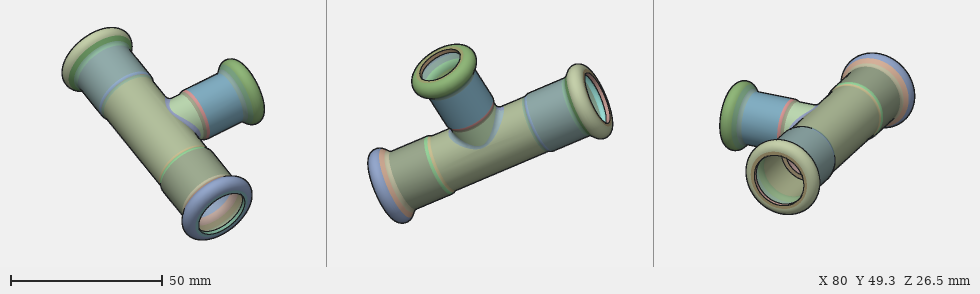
import cadquery as cq
import math

run_length = 80.0
branch_reach = 36.0

run_socket_diameter = 21.0
run_tube_diameter = 19.8
run_bead_diameter = 26.5
branch_socket_diameter = 18.0
branch_tube_diameter = 16.8

socket_wall = 1.4
tube_wall = 2.6

socket_depth = 20.9
bead_radius = 3.0
bead_height = (run_bead_diameter - run_socket_diameter) / 2
neck_radius = 2.1
neck_angle = 45.0
step_radius = 2.0
step_angle = 30.0
junction_fillet = 2.0
selection_margin = 0.1


def arc_point(center, radius, angle):
    """Point on an arc; the angle is measured from radially outward towards the tube."""
    turn = math.radians(angle)
    return center[0] + radius * math.sin(turn), center[1] + radius * math.cos(turn)


def bead_and_neck(profile, socket_radius, inset):
    """Add the bead, cone and neck, moved inward by the inset, starting on the mouth face."""
    bead_center = (bead_radius, socket_radius + bead_height - bead_radius)
    bead = bead_radius - inset
    neck = neck_radius + inset
    neck_center_radius = socket_radius + neck_radius
    center_rise = neck_center_radius - bead_center[1]
    slope = math.radians(neck_angle)
    center_gap = (bead_radius + neck_radius - center_rise * math.cos(slope)) / math.sin(slope)
    neck_center = (bead_center[0] + center_gap, neck_center_radius)
    return (
        profile.lineTo(*arc_point(bead_center, bead, -90))
        .threePointArc(arc_point(bead_center, bead, 0), arc_point(bead_center, bead, neck_angle))
        .lineTo(*arc_point(neck_center, neck, 180 + neck_angle))
        .threePointArc(
            arc_point(neck_center, neck, 180 + neck_angle / 2), arc_point(neck_center, neck, 180)
        )
    )


def step_down(profile, socket_radius, tube_radius):
    """Add the softened conical step from the socket to the tube."""
    slope = math.radians(step_angle)
    fillet_drop = step_radius * (1 - math.cos(slope))
    cone_length = (socket_radius - tube_radius - 2 * fillet_drop) / math.tan(slope)
    step_length = 2 * step_radius * math.sin(slope) + cone_length
    upper_center = (socket_depth, socket_radius - step_radius)
    lower_center = (socket_depth + step_length, tube_radius + step_radius)
    return (
        profile.lineTo(*arc_point(upper_center, step_radius, 0))
        .threePointArc(
            arc_point(upper_center, step_radius, step_angle / 2),
            arc_point(upper_center, step_radius, step_angle),
        )
        .lineTo(*arc_point(lower_center, step_radius, 180 + step_angle))
        .threePointArc(
            arc_point(lower_center, step_radius, 180 + step_angle / 2),
            arc_point(lower_center, step_radius, 180),
        )
    )


def revolve_port(profile, length):
    """Close a profile on its axis at the tee centre and revolve it about X."""
    return profile.lineTo(length, 0).close().revolve(360, (0, 0, 0), (1, 0, 0))


def port_body(socket_diameter, tube_diameter, length):
    """Solid outer form of one port, with its mouth at X = 0."""
    profile = cq.Workplane("XY").moveTo(0, 0)
    profile = bead_and_neck(profile, socket_diameter / 2, 0)
    profile = step_down(profile, socket_diameter / 2, tube_diameter / 2)
    return revolve_port(profile.lineTo(length, tube_diameter / 2), length)


def port_cavity(socket_diameter, tube_diameter, length):
    """Socket, seal groove inside the bead, and tube bore of one port."""
    socket_bore = socket_diameter / 2 - socket_wall
    tube_bore = tube_diameter / 2 - tube_wall
    profile = cq.Workplane("XY").moveTo(0, 0).lineTo(0, socket_bore).lineTo(socket_wall, socket_bore)
    profile = bead_and_neck(profile, socket_diameter / 2, socket_wall)
    profile = profile.lineTo(socket_depth, socket_bore).lineTo(socket_depth, tube_bore)
    return revolve_port(profile.lineTo(length, tube_bore), length)


def place_run(port):
    """Put a port on the -X end and mirror it to the +X end."""
    left = port.translate((-run_length / 2, 0, 0))
    return left.union(left.mirror("YZ"))


def place_branch(port):
    """Turn a port so that its mouth faces +Y."""
    return port.translate((-branch_reach, 0, 0)).rotate((0, 0, 0), (0, 0, 1), -90)


run_sizes = (run_socket_diameter, run_tube_diameter, run_length / 2)
branch_sizes = (branch_socket_diameter, branch_tube_diameter, branch_reach)

run_body = place_run(port_body(*run_sizes)).clean()
body = run_body.union(place_branch(port_body(*branch_sizes)))
saddle_reach = run_tube_diameter / 2 + selection_margin
saddle_box = cq.selectors.BoxSelector(
    (-branch_tube_diameter, 0, -branch_tube_diameter),
    (branch_tube_diameter, saddle_reach, branch_tube_diameter),
    boundingbox=True,
)
saddle_edges = body.edges(saddle_box).edges("not(%CIRCLE or %LINE)")
body = saddle_edges.fillet(junction_fillet)

result = body.cut(place_run(port_cavity(*run_sizes))).cut(place_branch(port_cavity(*branch_sizes)))